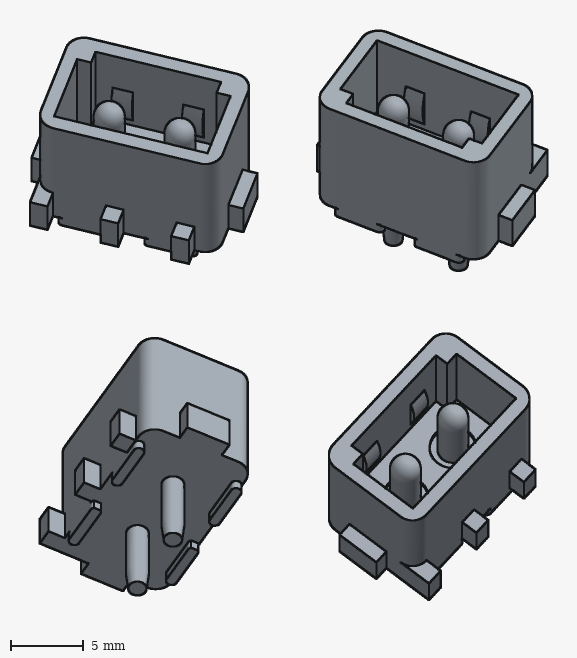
import cadquery as cq

overall_x = 15.24
overall_y = 9.65
overall_z = 15.24

lug_projection = 1.27
ear_projection = 1.075
housing_x = overall_x - 2 * ear_projection
housing_y = overall_y - lug_projection
housing_z = 9.525
corner_radius = 1.27
lug_height = 2.54

wall = 1.03
floor_z = 2.54
key_size = 1.0
cavity_x = housing_x - 2 * wall
cavity_y = housing_y - 2 * wall

pitch = 5.08
contact_xs = (-pitch / 2, pitch / 2)
contact_diameter = 2.14
contact_top_z = 8.0
tail_diameter = 1.58
tail_tip_diameter = 1.27
tail_taper = 1.524
tail_bottom_z = housing_z - overall_z
recess_diameter = 3.2
recess_depth = 0.25

ear_y = 3.3
lug_x = 1.27
first_lug_x = (lug_x - housing_x) / 2

foot_length = 3.81
foot_width = 0.762
foot_height = 0.762
foot_center_x = 3.09
left_foot_trim = 0.12

bump_x = 1.475
bump_depth = 0.32
bump_bottom_z = 3.08
bump_top_z = 6.1


def block(size_x, size_y, size_z, center_x, center_y, bottom_z):
    """Box standing on bottom_z, centred at the given x and y."""
    box = cq.Workplane("XY").box(size_x, size_y, size_z, centered=(True, True, False))
    return box.translate((center_x, center_y, bottom_z))


def make_housing():
    """Rounded shell with an open-topped cavity, keyed by square posts in its two rear corners."""
    body = block(housing_x, housing_y, housing_z, 0, 0, 0).edges("|Z").fillet(corner_radius)
    cavity_z = housing_z - floor_z
    body = body.cut(block(cavity_x, cavity_y, cavity_z, 0, 0, floor_z))
    for side in (-1, 1):
        key_x = side * (cavity_x - key_size) / 2
        key_y = (cavity_y - key_size) / 2
        body = body.union(block(key_size, key_size, cavity_z, key_x, key_y, floor_z))
    return body


def add_ears_and_lugs(body):
    """A pair of side ears, and three lugs along the front that reach back past the corner round."""
    body = body.union(block(overall_x, ear_y, lug_height, 0, 0, 0))
    lug_y = lug_projection + corner_radius
    lug_center_y = -housing_y / 2 - lug_projection + lug_y / 2
    for index in range(3):
        lug_center_x = first_lug_x + index * pitch
        body = body.union(block(lug_x, lug_y, lug_height, lug_center_x, lug_center_y, 0))
    return body


def add_feet(body):
    """Four round-ended feet flush with the long housing faces; the left pair has trimmed inner ends."""
    foot_center_y = (housing_y - foot_width) / 2
    feet = (
        cq.Workplane("XY")
        .rect(2 * foot_center_x, 2 * foot_center_y, forConstruction=True)
        .vertices()
        .slot2D(foot_length, foot_width)
        .extrude(-foot_height)
    )
    inner_end_x = -foot_center_x + foot_length / 2
    trim_x = inner_end_x - left_foot_trim / 2
    feet = feet.cut(block(left_foot_trim, housing_y, foot_height, trim_x, 0, -foot_height))
    return body.union(feet)


def make_bump(center_x, side):
    """Arc-faced bump on the cavity wall at the given side (+1 or -1) of y."""
    wall_y = side * cavity_y / 2
    middle_z = (bump_bottom_z + bump_top_z) / 2
    profile = (
        cq.Workplane("YZ", origin=(center_x - bump_x / 2, 0, 0))
        .moveTo(wall_y, bump_bottom_z)
        .threePointArc((wall_y - side * bump_depth, middle_z), (wall_y, bump_top_z))
        .close()
    )
    return profile.extrude(bump_x)


def make_contact(center_x):
    """Round-nosed pin above the floor with a tapered solder tail below."""
    nose_radius = contact_diameter / 2
    tail_radius = tail_diameter / 2
    tip_radius = tail_tip_diameter / 2
    shoulder_z = floor_z / 2
    profile = (
        cq.Workplane("XZ")
        .moveTo(0, tail_bottom_z)
        .lineTo(tip_radius, tail_bottom_z)
        .lineTo(tail_radius, tail_bottom_z + tail_taper)
        .lineTo(tail_radius, shoulder_z)
        .lineTo(nose_radius, shoulder_z)
        .lineTo(nose_radius, contact_top_z - nose_radius)
        .radiusArc((0, contact_top_z), -nose_radius)
        .close()
    )
    return profile.revolve(360, (0, 0, 0), (0, 1, 0)).translate((center_x, 0, 0))


def make_recess(center_x):
    """Shallow round recess in the cavity floor around a contact."""
    circle = cq.Workplane("XY", origin=(center_x, 0, floor_z)).circle(recess_diameter / 2)
    return circle.extrude(-recess_depth)


result = add_feet(add_ears_and_lugs(make_housing()))
for contact_x in contact_xs:
    result = result.cut(make_recess(contact_x)).union(make_contact(contact_x))
    for wall_side in (-1, 1):
        result = result.union(make_bump(contact_x, wall_side))